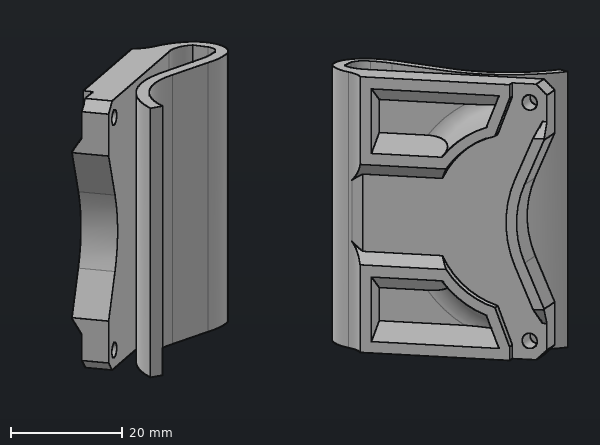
import cadquery as cq
import math

width = 50.5
half_width = width / 2
body_thickness = 6.95
body_bottom = 0.2
face_top = 34.6
hook_root = (3.75, 37.9)

recess_depth = 1.85
disc_center_y = 5.1
disc_radius = 16.25
shoulder_y = 6.65
shoulder_z = 22.7
shoulder_inner_y = 9.4
channel_half_width = 9.2
channel_floor_half_width = 7.05
channel_start_y = 15.15
channel_end_y = 40.4
channel_floor_curve = (2.75, 36.3)

scoop_apex_y = 5.35
scoop_radius = 17.85
scoop_flank_angle = math.radians(23.7)
rim_width = 1.95
rim_half_length = 15.65
rim_ramp_half_length = 18.5

pocket_depth = 5.1
pocket_top_y = 32.45
pocket_inner_z = 11.3
pocket_outer_z = 23.15
pocket_wall_taper = 2.9
pocket_low_y = 8.65
pocket_corner_y = 11.0
frame_wall = 1.9
cove_radius = 5.05

hole_y = 3.45
hole_z = 21.8
hole_diameter = 2.8
corner_chamfer_y = 2.0
corner_chamfer_z = 1.9

margin = 0.5


def disc_height(radius, y):
    """Z of a circle about the disc centre at a given Y."""
    return math.sqrt(radius**2 - (y - disc_center_y) ** 2)


def make_clip_body():
    """Body, hook and spring leg as one profile along Z."""
    profile = (
        cq.Workplane("XY", origin=(0, 0, -half_width))
        .moveTo(0, body_bottom)
        .lineTo(0, face_top)
        .threePointArc((2.3, 36.1), hook_root)
        .threePointArc((6.3, 40.7), (9.6, 42.55))
        .lineTo(10.95, 42.65)
        .threePointArc((15.6, 40.85), (17.2, 36.85))
        .threePointArc((16.85, 33.85), (15.75, 30.55))
        .lineTo(12.1, 21.2)
        .threePointArc((11.35, 10.15), (16.6, 1.95))
        .lineTo(14.95, 0)
        .threePointArc((8.8, 10.85), (9.6, 21.3))
        .lineTo(13.9, 32.6)
        .threePointArc((14.55, 34.85), (14.75, 36.85))
        .threePointArc((14.2, 39.05), (12.6, 39.95))
        .lineTo(9.65, 40.25)
        .threePointArc((7.65, 38.1), (body_thickness, 34.85))
        .lineTo(body_thickness, body_bottom)
        .close()
    )
    return profile.extrude(width)


def make_scoop(offset):
    """Round-bottomed notch with straight flanks, widened by an offset."""
    radius = scoop_radius + offset
    apex_y = scoop_apex_y + offset
    tangent_z = radius * math.sin(scoop_flank_angle)
    tangent_y = apex_y - radius * (1 - math.cos(scoop_flank_angle))
    mouth_y = -margin
    mouth_z = tangent_z + (tangent_y - mouth_y) / math.tan(scoop_flank_angle)
    return (
        cq.Workplane("YZ")
        .moveTo(mouth_y, -mouth_z)
        .lineTo(tangent_y, -tangent_z)
        .threePointArc((apex_y, 0), (tangent_y, tangent_z))
        .lineTo(mouth_y, mouth_z)
        .close()
        .extrude(body_thickness)
    )


def make_rim():
    """Raised strip following the scoop, ramped down to the recess at both ends."""
    ramped_strip = (
        cq.Workplane("XZ")
        .polyline([
            (0, -rim_half_length),
            (0, rim_half_length),
            (recess_depth, rim_ramp_half_length),
            (recess_depth, -rim_ramp_half_length),
        ])
        .close()
        .extrude(-shoulder_inner_y)
    )
    return make_scoop(rim_width).intersect(ramped_strip)


def make_recess():
    """Shallow recess: lower plate plus round centre, leaving the rim standing."""
    shoulder_inner_z = disc_height(disc_radius, shoulder_inner_y)
    plate_side = [
        (shoulder_inner_y, shoulder_inner_z),
        (shoulder_y, shoulder_z),
        (shoulder_y, half_width + margin),
    ]
    opposite_side = [(y, -z) for y, z in plate_side]
    bottom = [(-margin, -half_width - margin), (-margin, half_width + margin)]
    plate = (
        cq.Workplane("YZ")
        .polyline(plate_side[::-1] + opposite_side + bottom)
        .close()
        .extrude(recess_depth)
    )
    disc = (
        cq.Workplane("YZ")
        .center(disc_center_y, 0)
        .circle(disc_radius)
        .extrude(recess_depth)
    )
    return plate.union(disc).cut(make_rim())


def make_channel():
    """Sloping-sided channel whose floor curves deeper towards the hook."""
    slope = (channel_half_width - channel_floor_half_width) / recess_depth
    vee_depth = channel_half_width / slope
    vee = (
        cq.Workplane("XZ", origin=(0, channel_start_y, 0))
        .polyline([(0, -channel_half_width), (0, channel_half_width), (vee_depth, 0)])
        .close()
        .extrude(channel_start_y - channel_end_y)
    )
    floor_side = (
        cq.Workplane("XY", origin=(0, 0, -half_width))
        .moveTo(0, channel_start_y)
        .lineTo(recess_depth, channel_start_y)
        .lineTo(recess_depth, face_top)
        .threePointArc(channel_floor_curve, hook_root)
        .lineTo(0, channel_end_y)
        .close()
        .extrude(width)
    )
    return vee.intersect(floor_side)


def make_pocket():
    """Pocket on the +Z side with tapered long walls and a coved round wall."""
    rim_radius = disc_radius + frame_wall
    corner_z = disc_height(rim_radius, pocket_corner_y)
    arc_end_y = disc_center_y + math.sqrt(rim_radius**2 - pocket_inner_z**2)
    arc_mid_y = (pocket_corner_y + arc_end_y) / 2
    outline = (
        cq.Workplane("YZ")
        .moveTo(pocket_top_y, pocket_inner_z)
        .lineTo(pocket_top_y, pocket_outer_z)
        .lineTo(pocket_low_y, pocket_outer_z)
        .lineTo(pocket_corner_y, corner_z)
        .threePointArc((arc_mid_y, disc_height(rim_radius, arc_mid_y)), (arc_end_y, pocket_inner_z))
        .close()
        .extrude(pocket_depth)
    )
    taper = (
        cq.Workplane("XZ")
        .polyline([
            (0, pocket_inner_z),
            (0, pocket_outer_z),
            (pocket_depth, pocket_outer_z - pocket_wall_taper),
            (pocket_depth, pocket_inner_z + pocket_wall_taper),
        ])
        .close()
        .extrude(-pocket_top_y)
    )
    arc_share = math.sqrt(0.5)
    cove = (
        cq.Workplane("XY")
        .moveTo(pocket_depth - cove_radius, disc_center_y + rim_radius)
        .threePointArc(
            (
                pocket_depth - cove_radius * (1 - arc_share),
                disc_center_y + rim_radius + cove_radius * (1 - arc_share),
            ),
            (pocket_depth, disc_center_y + rim_radius + cove_radius),
        )
        .lineTo(pocket_depth, disc_center_y + rim_radius - margin)
        .lineTo(pocket_depth - cove_radius, disc_center_y + rim_radius - margin)
        .close()
        .revolve(360, (0, disc_center_y, 0), (1, disc_center_y, 0))
    )
    return outline.intersect(taper).cut(cove)


def make_corner_cuts():
    """Hole and bottom corner chamfer on the +Z side of the body."""
    hole = (
        cq.Workplane("YZ")
        .center(hole_y, hole_z)
        .circle(hole_diameter / 2)
        .extrude(body_thickness)
    )
    chamfer = (
        cq.Workplane("YZ")
        .polyline([
            (body_bottom, half_width),
            (body_bottom + corner_chamfer_y, half_width),
            (body_bottom, half_width - corner_chamfer_z),
        ])
        .close()
        .extrude(body_thickness)
    )
    return hole.union(chamfer)


result = make_clip_body().cut(make_recess()).cut(make_channel()).cut(make_scoop(0))
for side_cut in (make_pocket(), make_corner_cuts()):
    result = result.cut(side_cut).cut(side_cut.mirror("XY"))